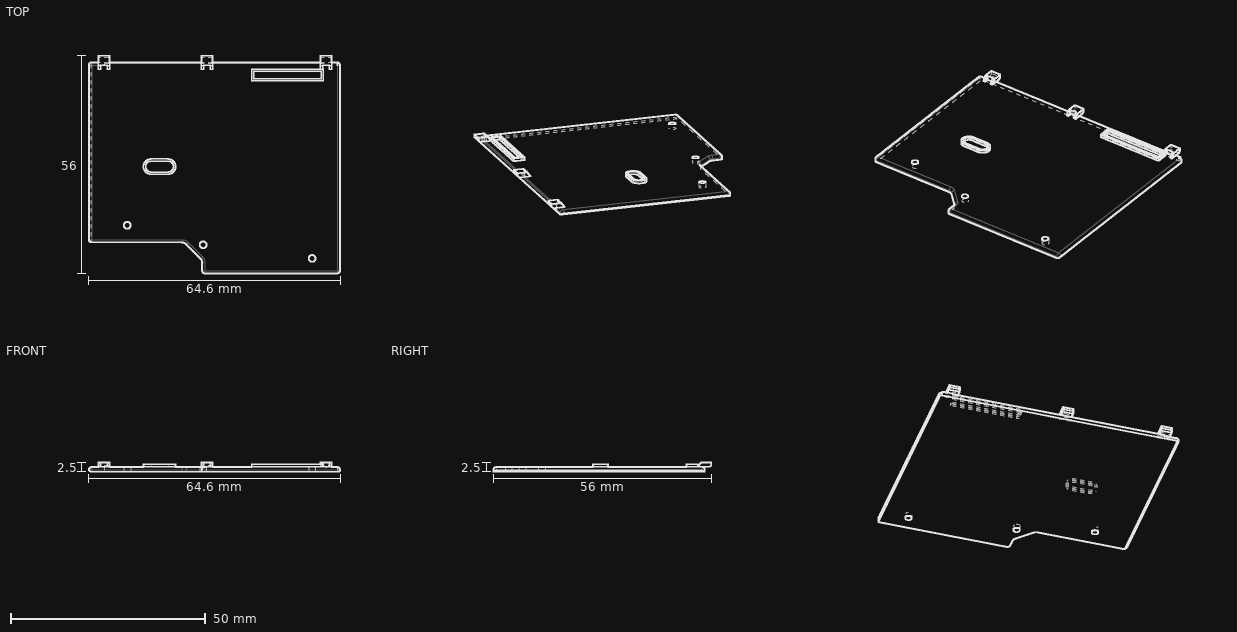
import cadquery as cq

length_x = 64.55
length_y = 55.98
total_height = 2.5

plate_thickness = 1.3
tab_overhang = 1.7
edge_round = 0.75
corner_round = 0.77
left_x = -length_x / 2
right_x = length_x / 2
front_y = -length_y / 2
tab_back_y = length_y / 2
back_y = tab_back_y - tab_overhang

step_x = -3.2
step_y = -20.0
slope_start_y = -24.58
slope_start_round = 1.2
slope_end_round = 1.6

left_bevel_height = 0.45
left_bevel_inset = 0.55
right_bottom_bevel_inset = 0.25
right_bottom_bevel_height = 0.4

tab_width = 2.9
tab_centers_x = (-28.36, -1.9, 28.64)
tab_slope_foot_y = 24.45
tab_slope_run = 0.9
tab_relief_y = 25.55
tab_leg_width = 0.6
tab_bevel = 0.45
back_edge_round = 0.25

rim_height = 0.75
rim_wall = 0.55
slot_rim_length = 8.3
slot_rim_width = 3.9
slot_rim_center = (-14.1, -0.5)
bar_rim_length = 18.4
bar_rim_width = 3.0
bar_rim_center = (18.75, 23.05)

hole_diameter = 1.7
hole_centers = ((-22.4, -15.6), (-2.9, -20.6), (25.1, -24.1))


def prism_along_y(points):
    """Prism with the given XZ section, spanning the whole length in Y."""
    return cq.Workplane("XZ", origin=(0, length_y, 0)).polyline(points).close().extrude(2 * length_y)


def make_plate():
    slope_run = step_y - slope_start_y
    slope_end_x = step_x - slope_run
    plate = (
        cq.Workplane("XY")
        .moveTo(left_x, back_y)
        .lineTo(right_x, back_y)
        .lineTo(right_x, front_y)
        .lineTo(step_x, front_y)
        .lineTo(step_x, slope_start_y)
        .lineTo(slope_end_x, step_y)
        .lineTo(left_x, step_y)
        .close()
        .extrude(plate_thickness)
    )

    def round_vertical_edge(body, x, y, radius):
        return body.edges(cq.NearestToPointSelector((x, y, plate_thickness / 2))).fillet(radius)

    outside_corners = (
        (left_x, back_y),
        (right_x, back_y),
        (right_x, front_y),
        (step_x, front_y),
        (left_x, step_y),
    )
    for x, y in outside_corners:
        plate = round_vertical_edge(plate, x, y, corner_round)
    plate = round_vertical_edge(plate, step_x, slope_start_y, slope_start_round)
    plate = round_vertical_edge(plate, slope_end_x, step_y, slope_end_round)
    return plate.faces(">Z").edges().fillet(edge_round)


def make_back_strip():
    """Fills the back edge out again from the first tab to the right side."""
    depth = 2 * corner_round
    first_x, last_x = tab_centers_x[0], tab_centers_x[-1]

    def block(x_start, x_end):
        corner = cq.Workplane("XY", origin=(x_start, back_y - depth, 0))
        return corner.box(x_end - x_start, depth, plate_thickness, centered=False)

    rounded = block(first_x, last_x).edges(">Y and >Z").fillet(back_edge_round)
    return rounded.union(block(last_x, right_x - corner_round))


def bevel_sides(plate):
    left_cut = prism_along_y(
        [(left_x, 0), (left_x + left_bevel_inset, 0), (left_x, left_bevel_height)]
    )
    right_bottom_cut = prism_along_y(
        [(right_x, 0), (right_x - right_bottom_bevel_inset, 0), (right_x, right_bottom_bevel_height)]
    )
    return plate.cut(left_cut).cut(right_bottom_cut)


def make_tab(center_x):
    """Hook tab with a sloped front that a relief splits into two legs."""
    section = [
        (tab_slope_foot_y, plate_thickness),
        (tab_slope_foot_y + tab_slope_run, total_height),
        (tab_back_y, total_height),
        (tab_back_y, plate_thickness + tab_bevel),
        (tab_back_y - tab_bevel, plate_thickness),
    ]
    tab = (
        cq.Workplane("YZ", origin=(center_x - tab_width / 2, 0, 0))
        .polyline(section).close().extrude(tab_width)
    )
    relief = cq.Workplane("XY", origin=(center_x, tab_slope_foot_y, plate_thickness)).box(
        tab_width - 2 * tab_leg_width,
        tab_relief_y - tab_slope_foot_y,
        total_height - plate_thickness,
        centered=(True, False, False),
    )
    return tab.cut(relief)


def make_slot_rim():
    base = cq.Workplane("XY", origin=(*slot_rim_center, plate_thickness))
    outer = base.slot2D(slot_rim_length, slot_rim_width).extrude(rim_height)
    inner = base.slot2D(slot_rim_length - 2 * rim_wall, slot_rim_width - 2 * rim_wall).extrude(rim_height)
    return outer.cut(inner)


def make_bar_rim():
    base = cq.Workplane("XY", origin=(*bar_rim_center, plate_thickness))
    outer = base.rect(bar_rim_length, bar_rim_width).extrude(rim_height)
    inner = base.rect(bar_rim_length - 2 * rim_wall, bar_rim_width - 2 * rim_wall).extrude(rim_height)
    return outer.cut(inner)


def make_part():
    part = bevel_sides(make_plate().union(make_back_strip()))
    for center_x in tab_centers_x:
        part = part.union(make_tab(center_x))
    part = part.union(make_slot_rim()).union(make_bar_rim())
    holes = cq.Workplane("XY").pushPoints(hole_centers).circle(hole_diameter / 2).extrude(plate_thickness)
    return part.cut(holes)


result = make_part()